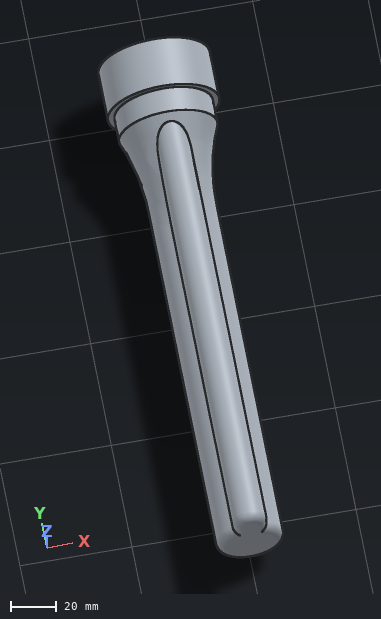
import cadquery as cq
import math

total_length = 234.5
back_y = total_length / 2
tip_y = -total_length / 2

cap_radius = 24.97
cap_length = 23.0
cap_front_y = back_y - cap_length

collar_radius = 22.0
collar_length = 11.3
collar_front_y = cap_front_y - collar_length

shaft_radius = 15.0
shaft_z = -5.9
tip_fillet = 4.0

rib_radius = 7.5
rib_z = 12.5

neck_length = 34.7
neck_length_variation = 16.2
neck_flare = 0.44
neck_spans = 6


def cylinder(radius, z, start_y, length):
    """Cylinder along -Y, starting at start_y."""
    return cq.Workplane("XZ", origin=(0, start_y, z)).circle(radius).extrude(length)


def neck_section(t):
    """Plane and semi-axes of the tilted elliptical neck section, from collar (t=0) to shaft (t=1).

    Each line along the neck is a quadratic curve that ends tangent to the shaft.
    """
    collar_share = (1 - t) ** 2
    shaft_share = 1 - collar_share
    radius = collar_radius * collar_share + shaft_radius * shaft_share
    advance = neck_flare * 2 * t * (1 - t) + t**2
    lean = neck_length_variation * advance
    plane = cq.Plane(
        origin=(0, collar_front_y - neck_length * advance, shaft_z * shaft_share),
        xDir=(1, 0, 0),
        normal=(0, -radius, -lean),
    )
    return plane, radius, math.hypot(radius, lean)


def make_neck():
    wires = []
    for i in range(neck_spans + 1):
        plane, half_width, half_height = neck_section(i / neck_spans)
        wires.append(cq.Workplane(plane).ellipse(half_width, half_height).wires().val())
    return cq.Workplane(cq.Solid.makeLoft(wires))


def make_shaft():
    """Shaft with a rounded tip, cut at its back by the tilted end plane of the neck."""
    shaft = cylinder(shaft_radius, shaft_z, collar_front_y, collar_front_y - tip_y)
    shaft = shaft.faces("<Y").edges().fillet(tip_fillet)
    end_plane = neck_section(1)[0]
    behind_neck_end = cq.Workplane(end_plane).rect(total_length, total_length).extrude(-total_length)
    return shaft.cut(behind_neck_end)


def make_rib():
    """Rib that starts at the collar and reaches down to the shaft axis."""
    rib = (
        cq.Workplane("XZ", origin=(0, collar_front_y, 0))
        .moveTo(-rib_radius, shaft_z)
        .lineTo(-rib_radius, rib_z)
        .threePointArc((0, rib_z + rib_radius), (rib_radius, rib_z))
        .lineTo(rib_radius, shaft_z)
        .close()
        .extrude(collar_front_y - tip_y)
    )
    return rib.faces("<Y").edges("not <Z").fillet(tip_fillet)


def make_cap():
    return cylinder(cap_radius, 0, back_y, cap_length)


def make_handle():
    collar = cylinder(collar_radius, 0, cap_front_y, collar_length)
    return collar.union(make_neck()).union(make_shaft()).union(make_rib())


cap = make_cap()
handle = make_handle()
result = cq.Compound.makeCompound([cap.val(), *handle.solids().vals()])